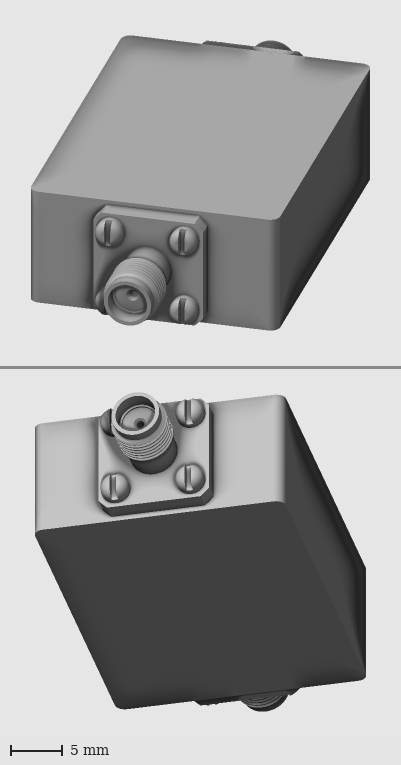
import cadquery as cq
import math

BODY_WIDTH = 25.0
BODY_LENGTH = 35.0
BODY_HEIGHT = 12.0
BODY_CORNER_RADIUS = 1.0

FLANGE_SIZE = 11.0
FLANGE_THICKNESS = 1.8
FLANGE_CORNER_REACH = 7.2

SCREW_SPACING = 7.45
SCREW_HEAD_RADIUS = 1.4
SCREW_HEAD_HEIGHT = 1.5
SCREW_RIM_HEIGHT = 0.65
SCREW_FLAT_RADIUS = 0.65
SCREW_SLOT_WIDTH = 0.64
SCREW_SLOT_DEPTH = SCREW_HEAD_HEIGHT - SCREW_RIM_HEIGHT

OVERALL_LENGTH = 54.0
CONNECTOR_REACH = (OVERALL_LENGTH - BODY_LENGTH) / 2
BARREL_RADIUS = 2.375
TIP_LENGTH = 1.05

COLLAR_RADIUS = 2.75
COLLAR_LENGTH = 3.85
COLLAR_END = CONNECTOR_REACH - TIP_LENGTH
COLLAR_START = COLLAR_END - COLLAR_LENGTH
COLLAR_CHAMFER = COLLAR_RADIUS - BARREL_RADIUS
THREAD_PITCH = 0.5
THREAD_ROOT_RADIUS = 2.45
THREAD_HALF_ANGLE = math.radians(30)
THREAD_OVERCUT = 0.1
THREAD_START_ANGLE = 90

BORE_RADIUS = 1.97
BORE_DEPTH = 1.7
RECESS_RADIUS = 1.77
RECESS_DEPTH = 0.2
CONTACT_MOUTH_RADIUS = 0.62
CONTACT_HOLE_RADIUS = 0.38
CONTACT_HOLE_DEPTH = 2.0
CONTACT_POINT_ANGLE = math.radians(59)


def make_body():
    body = cq.Workplane("XY").box(BODY_WIDTH, BODY_LENGTH, BODY_HEIGHT)
    return body.edges("|Z").fillet(BODY_CORNER_RADIUS)


def make_flange():
    """Square plate whose corners are trimmed by a circle about its centre."""
    square = cq.Workplane("XY").rect(FLANGE_SIZE, FLANGE_SIZE).extrude(FLANGE_THICKNESS)
    disc = cq.Workplane("XY").circle(FLANGE_CORNER_REACH).extrude(FLANGE_THICKNESS)
    return square.intersect(disc)


def make_screw_head(x, y):
    """Domed, flat-topped head with a slot along local Y, seated on the flange."""
    head = (
        cq.Workplane("XZ")
        .lineTo(SCREW_HEAD_RADIUS, 0)
        .lineTo(SCREW_HEAD_RADIUS, SCREW_RIM_HEIGHT)
        .tangentArcPoint((SCREW_FLAT_RADIUS, SCREW_HEAD_HEIGHT), relative=False)
        .lineTo(0, SCREW_HEAD_HEIGHT)
        .close()
        .revolve(360, (0, 0), (0, 1))
    )
    slot = (
        cq.Workplane("XY")
        .workplane(offset=SCREW_HEAD_HEIGHT - SCREW_SLOT_DEPTH)
        .rect(SCREW_SLOT_WIDTH, 2 * SCREW_HEAD_RADIUS)
        .extrude(SCREW_SLOT_DEPTH)
    )
    return head.cut(slot).translate((x, y, FLANGE_THICKNESS))


def make_thread_groove():
    """Helical V-groove, running one turn past each end of the collar."""
    outer_radius = COLLAR_RADIUS + THREAD_OVERCUT
    half_width = (outer_radius - THREAD_ROOT_RADIUS) * math.tan(THREAD_HALF_ANGLE)
    length = COLLAR_LENGTH + 2 * THREAD_PITCH
    helix = cq.Wire.makeHelix(THREAD_PITCH, length, THREAD_ROOT_RADIUS)
    groove = (
        cq.Workplane("XZ")
        .moveTo(THREAD_ROOT_RADIUS, 0)
        .lineTo(outer_radius, half_width)
        .lineTo(outer_radius, -half_width)
        .close()
        .sweep(cq.Workplane(helix), isFrenet=True)
    )
    groove = groove.rotate((0, 0, 0), (0, 0, 1), THREAD_START_ANGLE)
    return groove.translate((0, 0, COLLAR_START - THREAD_PITCH))


def make_collar():
    base = cq.Workplane("XY").workplane(offset=COLLAR_START)
    collar = base.circle(COLLAR_RADIUS).extrude(COLLAR_LENGTH)
    collar = collar.faces("<Z or >Z").chamfer(COLLAR_CHAMFER)
    return collar.cut(make_thread_groove())


def make_socket():
    """Cutter for the stepped bore and the contact hole in its floor."""
    floor = CONNECTOR_REACH - BORE_DEPTH
    recess_floor = floor - RECESS_DEPTH
    countersink_end = recess_floor - (CONTACT_MOUTH_RADIUS - CONTACT_HOLE_RADIUS)
    hole_end = recess_floor - CONTACT_HOLE_DEPTH
    hole_point = hole_end - CONTACT_HOLE_RADIUS / math.tan(CONTACT_POINT_ANGLE)
    return (
        cq.Workplane("XZ")
        .moveTo(0, CONNECTOR_REACH)
        .lineTo(BORE_RADIUS, CONNECTOR_REACH)
        .lineTo(BORE_RADIUS, floor)
        .lineTo(RECESS_RADIUS, floor)
        .lineTo(RECESS_RADIUS, recess_floor)
        .lineTo(CONTACT_MOUTH_RADIUS, recess_floor)
        .lineTo(CONTACT_HOLE_RADIUS, countersink_end)
        .lineTo(CONTACT_HOLE_RADIUS, hole_end)
        .lineTo(0, hole_point)
        .close()
        .revolve(360, (0, 0), (0, 1))
    )


def make_connector():
    """Connector standing on the local XY plane, axis along local Z."""
    barrel = cq.Workplane("XY").circle(BARREL_RADIUS).extrude(CONNECTOR_REACH)
    connector = make_flange().union(barrel).union(make_collar()).cut(make_socket())
    half_spacing = SCREW_SPACING / 2
    for x in (-half_spacing, half_spacing):
        for y in (-half_spacing, half_spacing):
            connector = connector.union(make_screw_head(x, y))
    return connector


connector = make_connector().rotate((0, 0, 0), (1, 0, 0), 90)
front_connector = connector.translate((0, -BODY_LENGTH / 2, 0))
rear_connector = front_connector.rotate((0, 0, 0), (0, 0, 1), 180)

result = make_body().union(front_connector).union(rear_connector)